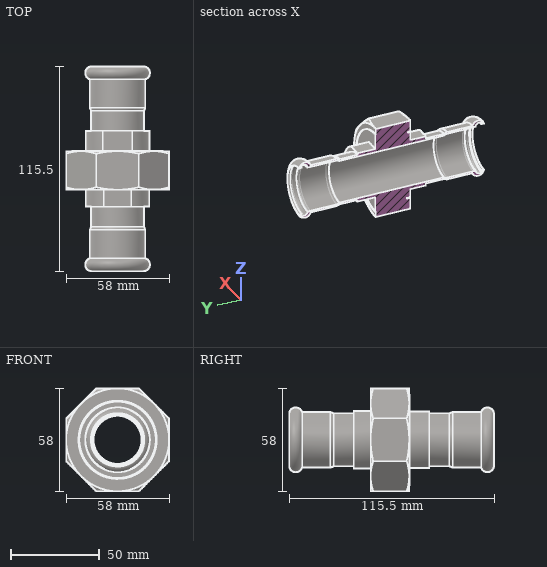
import cadquery as cq
import math

TOTAL_LENGTH = 115.45
HALF_LENGTH = TOTAL_LENGTH / 2
NUT_FRONT = -11.75
NUT_BACK = 9.9
RING_BACK = 10.25
FRONT_COLLAR_END = -21.35
BACK_COLLAR_END = 21.35

SLEEVE_DIAMETER = 30.0
SOCKET_DIAMETER = 31.4
WALL = 1.5
BORE_DIAMETER = SLEEVE_DIAMETER - 2 * WALL
SOCKET_BORE_DIAMETER = SOCKET_DIAMETER - 2 * WALL
SOCKET_DEPTH = 23.3
TAPER_LENGTH = 1.8
TUBE_STOP = 0.25

BEAD_DIAMETER = 36.6
BEAD_ROUND = 3.78
MOUTH_DIAMETER = 30.2
MOUTH_DEPTH = 1.65
GROOVE_DIAMETER = 33.0
LEAD_IN_DIAMETER = 28.8
GROOVE_ROUND_DEPTH = 3.1
GROOVE_ROUND = (GROOVE_DIAMETER - LEAD_IN_DIAMETER) / 2
LEAD_IN_DEPTH = 6.0
LEAD_IN_END_DEPTH = 6.95

COLLAR_DIAMETER = 36.0
BACK_COLLAR_FLATS = 32.0
FRONT_COLLAR_FLATS = 32.5

NUT_FLATS = 58.0
NUT_SIDES = 8
NUT_CORNER_DIAMETER = NUT_FLATS / math.cos(math.pi / NUT_SIDES)
CHAMFER_ANGLE = math.radians(30)
CHAMFER_DEPTH = (NUT_CORNER_DIAMETER - NUT_FLATS) / 2 * math.tan(CHAMFER_ANGLE)
RING_DIAMETER = 50.96
NUT_HOLE_DIAMETER = 43.3
NUT_HOLE_CHAMFER = 0.45
TAILPIECE_DIAMETER = 43.0
GAP_DEPTH = 2.0


def cylinder(diameter, start, end):
    """Round bar along Y between two axial positions."""
    return cq.Workplane("XZ", origin=(0, start, 0)).circle(diameter / 2).extrude(start - end)


def revolved(profile):
    """Turn a closed (radius, Y) profile about the Y axis."""
    return profile.close().revolve(360, (0, 0, 0), (0, 1, 0))


def socket_outside():
    """Sleeve, taper, socket and rounded end bead on the +Y side, solid to the axis."""
    sleeve_radius = SLEEVE_DIAMETER / 2
    socket_radius = SOCKET_DIAMETER / 2
    mouth_radius = MOUTH_DIAMETER / 2
    bead_radius = BEAD_DIAMETER / 2
    socket_start = HALF_LENGTH - SOCKET_DEPTH
    circle_radius = bead_radius - BEAD_ROUND
    circle_y = HALF_LENGTH - math.sqrt(BEAD_ROUND**2 - (mouth_radius - circle_radius) ** 2)
    bead_start = circle_y - math.sqrt(BEAD_ROUND**2 - (socket_radius - circle_radius) ** 2)
    return revolved(
        cq.Workplane("XY")
        .lineTo(sleeve_radius, 0)
        .lineTo(sleeve_radius, socket_start - TAPER_LENGTH)
        .lineTo(socket_radius, socket_start)
        .lineTo(socket_radius, bead_start)
        .threePointArc((bead_radius, circle_y), (mouth_radius, HALF_LENGTH))
        .lineTo(0, HALF_LENGTH)
    )


def socket_inside():
    """Bore, tube stop, socket bore, seal groove and mouth on the +Y side."""
    bore_radius = BORE_DIAMETER / 2
    socket_radius = SOCKET_BORE_DIAMETER / 2
    groove_radius = GROOVE_DIAMETER / 2
    mouth_radius = MOUTH_DIAMETER / 2
    socket_start = HALF_LENGTH - SOCKET_DEPTH
    taper_start = socket_start - TAPER_LENGTH
    mouth_end = HALF_LENGTH - MOUTH_DEPTH
    round_y = HALF_LENGTH - GROOVE_ROUND_DEPTH
    lead_in_radius = LEAD_IN_DIAMETER / 2
    diagonal = GROOVE_ROUND * math.sqrt(0.5)
    round_middle = (lead_in_radius + diagonal, round_y - diagonal)
    return revolved(
        cq.Workplane("XY")
        .lineTo(bore_radius, 0)
        .lineTo(bore_radius, taper_start)
        .lineTo(bore_radius + TUBE_STOP, taper_start)
        .lineTo(socket_radius, socket_start)
        .lineTo(socket_radius, HALF_LENGTH - LEAD_IN_END_DEPTH)
        .lineTo(lead_in_radius, HALF_LENGTH - LEAD_IN_DEPTH)
        .lineTo(lead_in_radius, round_y - GROOVE_ROUND)
        .threePointArc(round_middle, (groove_radius, round_y))
        .lineTo(groove_radius, mouth_end)
        .lineTo(mouth_radius, mouth_end)
        .lineTo(mouth_radius, HALF_LENGTH)
        .lineTo(0, HALF_LENGTH)
    )


def both_ends(half):
    """Shape on the +Y side joined with its mirror image on the -Y side."""
    return half.union(half.mirror("XZ"))


def collar(flats, end):
    """Collar from the middle of the fitting out to one end position."""
    limits = cq.Workplane("XY").box(COLLAR_DIAMETER, 2 * abs(end), flats)
    return cylinder(COLLAR_DIAMETER, 0, end).intersect(limits)


def nut():
    """Octagonal nut with corners chamfered by cones at both faces."""
    octagon = (
        cq.Workplane("XZ", origin=(0, NUT_FRONT, 0))
        .transformed(rotate=(0, 0, 180 / NUT_SIDES))
        .polygon(NUT_SIDES, NUT_CORNER_DIAMETER)
        .extrude(NUT_FRONT - NUT_BACK)
    )
    envelope = revolved(
        cq.Workplane("XY")
        .moveTo(0, NUT_FRONT)
        .lineTo(NUT_FLATS / 2, NUT_FRONT)
        .lineTo(NUT_CORNER_DIAMETER / 2, NUT_FRONT + CHAMFER_DEPTH)
        .lineTo(NUT_CORNER_DIAMETER / 2, NUT_BACK - CHAMFER_DEPTH)
        .lineTo(NUT_FLATS / 2, NUT_BACK)
        .lineTo(0, NUT_BACK)
    )
    return octagon.intersect(envelope)


def nut_gap():
    """Narrow chamfered ring gap around the tailpiece in the -Y face of the nut."""
    hole_radius = NUT_HOLE_DIAMETER / 2
    gap_end = NUT_FRONT + GAP_DEPTH
    return revolved(
        cq.Workplane("XY")
        .moveTo(TAILPIECE_DIAMETER / 2, NUT_FRONT)
        .lineTo(hole_radius + NUT_HOLE_CHAMFER, NUT_FRONT)
        .lineTo(hole_radius, NUT_FRONT + NUT_HOLE_CHAMFER)
        .lineTo(hole_radius, gap_end)
        .lineTo(TAILPIECE_DIAMETER / 2, gap_end)
    )


body = nut().cut(nut_gap())
body = body.union(cylinder(RING_DIAMETER, NUT_BACK, RING_BACK))
body = body.union(collar(BACK_COLLAR_FLATS, BACK_COLLAR_END))
body = body.union(collar(FRONT_COLLAR_FLATS, FRONT_COLLAR_END))
body = body.union(both_ends(socket_outside()))
result = body.cut(both_ends(socket_inside()))